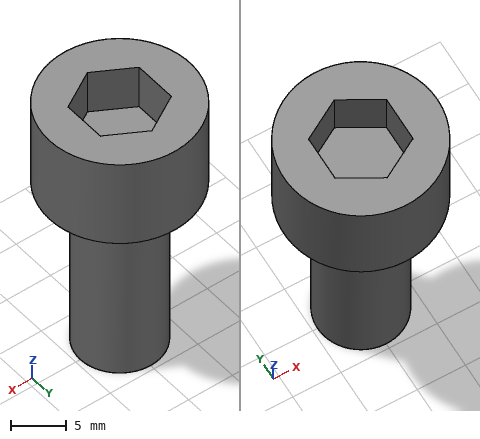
import cadquery as cq
import math

total_length = 30.0
head_diameter = 16.0
head_height = total_length / 3
shank_diameter = 9.0
shank_length = total_length - head_height

socket_across_flats = 8.1
socket_across_corners = socket_across_flats / math.cos(math.radians(30))
socket_depth = head_height / 2

shank = cq.Workplane("XY").circle(shank_diameter / 2).extrude(shank_length)

head = (
    cq.Workplane("XY")
    .workplane(offset=shank_length)
    .circle(head_diameter / 2)
    .extrude(head_height)
)

socket = (
    cq.Workplane("XY")
    .workplane(offset=total_length - socket_depth)
    .transformed(rotate=(0, 0, 30))
    .polygon(6, socket_across_corners)
    .extrude(socket_depth)
)

result = shank.union(head).cut(socket)